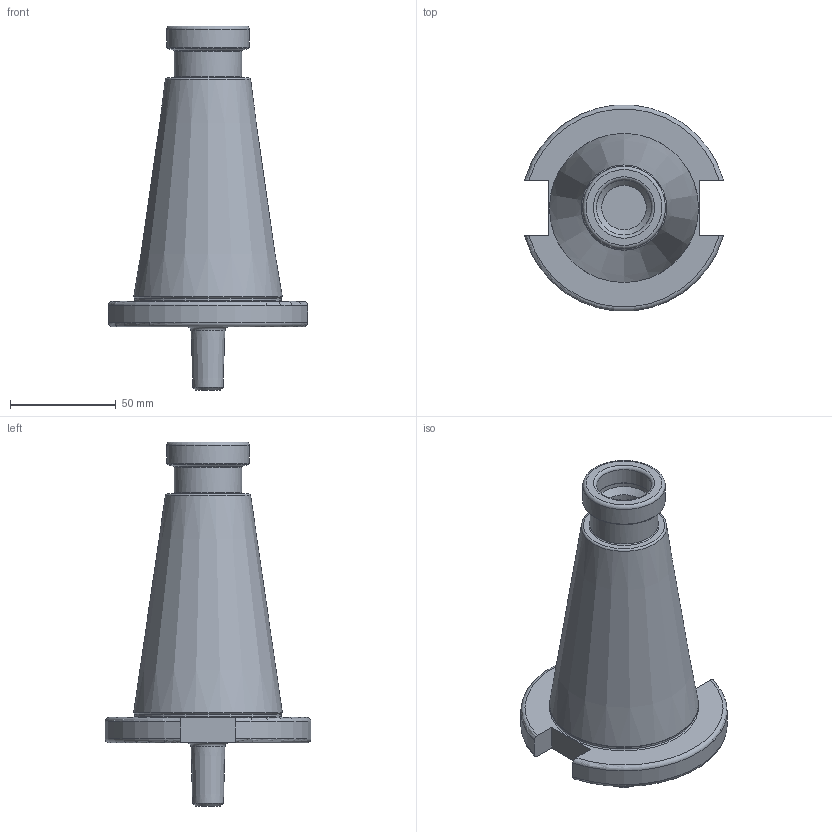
import cadquery as cq


gauge_radius = 69.85 / 2
taper_slope = 7 / 48
taper_height = 102.3
taper_top_radius = gauge_radius - taper_slope * taper_height
taper_edge_round = 1.0
shank_height = 126.8

collar_height = 3.2
taper_end = -1.1
relief_bevel = 0.5
relief_root_round = 0.6
taper_base_radius = gauge_radius - taper_slope * taper_end
relief_radius = taper_base_radius - relief_bevel

neck_radius = 16.0
neck_end_round = 0.5
head_radius = 19.5
head_rim_length = 10.4
head_length = 11.6
head_edge_round = 1.6
head_lower_edge_round = 0.5
head_rim_bottom = shank_height - head_rim_length
head_bottom = shank_height - head_length

flange_radius = 97.5 / 2
flange_thickness = 12.0
flange_edge_round = 2.0
flange_top = -collar_height
flange_bottom = flange_top - flange_thickness
keyway_width = 25.7
keyway_floor_distance = 35.4

stub_length = 29.8
stub_end_radius = 14.53 / 2
stub_slope = 1 / 40
stub_root_round = 1.8
stub_end_chamfer = 1.2
stub_end = flange_bottom - stub_length
stub_root_radius = stub_end_radius + stub_slope * stub_length

bore_mouth_round = 1.5
bore_radius = 13.0
bore_depth = 9.2
bore_groove_depth = 0.3
bore_groove_width = 2.3
bore_groove_radius = bore_radius + bore_groove_depth
thread_hole_radius = 10.5
thread_hole_depth = 45.0


def revolve_profile(profile):
    """Turn a closed (radius, height) profile around the Z axis."""
    return profile.close().revolve(360, (0, 0, 0), (0, 1, 0))


def circles_between(body, low, high, radius):
    """Select circular edges no larger than the radius, from the low to the high height."""
    margin = 0.1
    reach = radius + margin
    box = cq.selectors.BoxSelector((-reach, -reach, low - margin), (reach, reach, high + margin), True)
    return body.edges("%CIRCLE").edges(box)


def make_shank():
    profile = (
        cq.Workplane("YZ")
        .moveTo(0, flange_top)
        .lineTo(relief_radius + relief_root_round, flange_top)
        .radiusArc((relief_radius, flange_top + relief_root_round), relief_root_round)
        .lineTo(relief_radius, taper_end - relief_bevel)
        .lineTo(taper_base_radius, taper_end)
        .lineTo(taper_top_radius, taper_height)
        .lineTo(0, taper_height)
    )
    return revolve_profile(profile).faces(">Z").edges().fillet(taper_edge_round)


def make_head():
    profile = (
        cq.Workplane("YZ")
        .moveTo(0, taper_height)
        .lineTo(neck_radius, taper_height)
        .lineTo(neck_radius, head_bottom)
        .lineTo(head_radius, head_rim_bottom)
        .lineTo(head_radius, shank_height)
        .lineTo(0, shank_height)
    )
    head = revolve_profile(profile).faces(">Z").edges().fillet(head_edge_round)
    lower_edge = circles_between(head, head_rim_bottom, head_rim_bottom, head_radius)
    return lower_edge.fillet(head_lower_edge_round)


def make_spindle():
    """Join the shank and head, with small rounds at both ends of the neck."""
    spindle = make_shank().union(make_head())
    return circles_between(spindle, taper_height, head_bottom, neck_radius).fillet(neck_end_round)


def make_flange():
    flange = cq.Workplane("XY").workplane(offset=flange_bottom).circle(flange_radius).extrude(flange_thickness)
    return flange.edges().fillet(flange_edge_round)


def make_keyways():
    depth = flange_radius - keyway_floor_distance
    centre_distance = keyway_floor_distance + depth / 2
    return (
        cq.Workplane("XY")
        .workplane(offset=flange_bottom)
        .pushPoints([(-centre_distance, 0), (centre_distance, 0)])
        .rect(depth, keyway_width)
        .extrude(flange_thickness)
    )


def make_stub():
    round_end = flange_bottom - stub_root_round
    profile = (
        cq.Workplane("YZ")
        .moveTo(0, stub_end)
        .lineTo(stub_end_radius - stub_end_chamfer, stub_end)
        .lineTo(stub_end_radius, stub_end + stub_end_chamfer)
        .lineTo(stub_root_radius, round_end)
        .radiusArc((stub_root_radius + stub_root_round, flange_bottom), stub_root_round)
        .lineTo(0, flange_bottom)
    )
    return revolve_profile(profile)


def make_bore():
    mouth_round_end = shank_height - bore_mouth_round
    groove_top = shank_height - bore_depth
    groove_bottom = groove_top - bore_groove_width
    cone_bottom = groove_bottom - (bore_groove_radius - thread_hole_radius)
    hole_bottom = shank_height - thread_hole_depth
    profile = (
        cq.Workplane("YZ")
        .moveTo(0, shank_height)
        .lineTo(bore_radius + bore_mouth_round, shank_height)
        .radiusArc((bore_radius, mouth_round_end), -bore_mouth_round)
        .lineTo(bore_radius, groove_top)
        .lineTo(bore_groove_radius, groove_top - bore_groove_depth)
        .lineTo(bore_groove_radius, groove_bottom)
        .lineTo(thread_hole_radius, cone_bottom)
        .lineTo(thread_hole_radius, hole_bottom)
        .lineTo(0, hole_bottom)
    )
    return revolve_profile(profile)


flange = make_flange().cut(make_keyways())
result = make_spindle().union(flange).union(make_stub()).cut(make_bore())